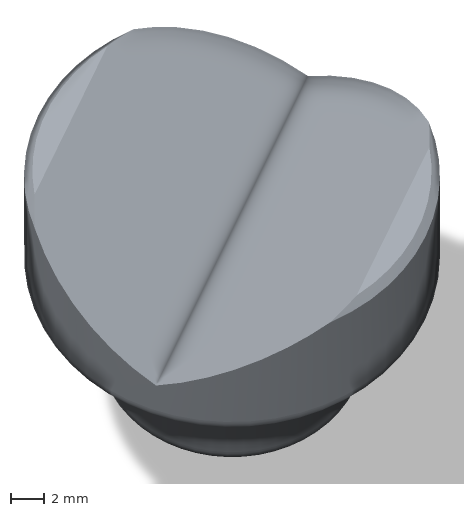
import cadquery as cq
import math

head_diameter = 25.0
head_height = 10.0
stem_diameter = 16.0
stem_length = 9.0
edge_radius = 1.5
rim_chamfer = 0.5
vee_depth = 6.0
vee_slope = 30.0

total_height = stem_length + head_height
vee_half_width = vee_depth / math.tan(math.radians(vee_slope))


def make_stem():
    """Cylindrical stem with a rounded lower edge."""
    stem = cq.Workplane("XY").circle(stem_diameter / 2).extrude(stem_length)
    return stem.faces("<Z").edges().fillet(edge_radius)


def make_head():
    """Round head, rounded underneath and chamfered on top."""
    head = cq.Workplane("XY").workplane(offset=stem_length).circle(head_diameter / 2).extrude(head_height)
    head = head.faces("<Z").edges().fillet(edge_radius)
    return head.faces(">Z").edges().chamfer(rim_chamfer)


def make_vee():
    """Triangular cutter for the V groove running along Y."""
    return (
        cq.Workplane("XZ")
        .moveTo(-vee_half_width, total_height)
        .lineTo(0, total_height - vee_depth)
        .lineTo(vee_half_width, total_height)
        .close()
        .extrude(head_diameter / 2, both=True)
    )


result = make_stem().union(make_head()).cut(make_vee())